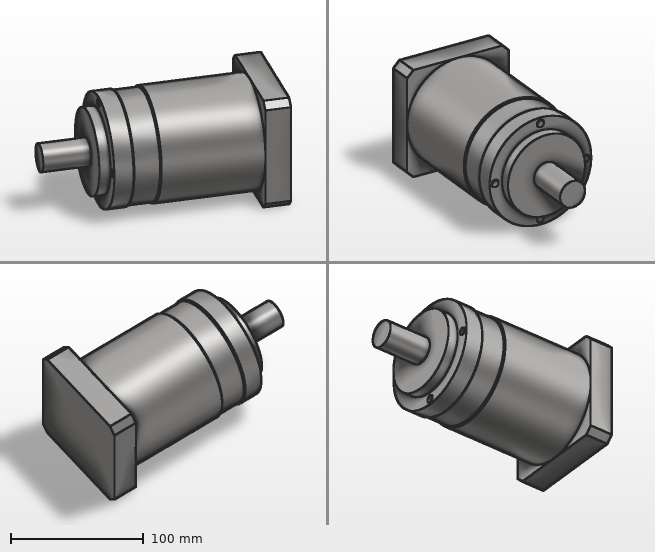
import cadquery as cq

total_length = 184.0
plate_width = 90.0

plate_thickness = 20.0
plate_corner_chamfer = 5.5

housing_diameter = plate_width
housing_length = 81.0
neck_diameter = 88.0
neck_length = 22.0
flange_diameter = housing_diameter
flange_length = 14.9
pilot_diameter = 68.0
pilot_length = 8.6
shaft_diameter = 22.0

neck_taper = (housing_diameter - neck_diameter) / 2

hole_count = 4
hole_diameter = 6.0
hole_circle_diameter = 80.0
hole_depth = flange_length

plate_back_y = total_length / 2
plate_front_y = plate_back_y - plate_thickness
housing_front_y = plate_front_y - housing_length
flange_back_y = housing_front_y - neck_length
flange_front_y = flange_back_y - flange_length
pilot_front_y = flange_front_y - pilot_length
shaft_tip_y = -total_length / 2


def section_plane(y):
    """Plane across the shaft axis at the given Y, facing the shaft tip."""
    return cq.Workplane("XZ", origin=(0, y, 0))


def mounting_plate():
    """Square plate with its four long corners chamfered."""
    plate = section_plane(plate_back_y).rect(plate_width, plate_width).extrude(plate_thickness)
    return plate.edges("|Y").chamfer(plate_corner_chamfer)


def gearbox_body():
    """Housing, tapered neck, flange, pilot and shaft turned as one profile about Y."""
    profile = [
        (plate_front_y, 0),
        (plate_front_y, housing_diameter / 2),
        (housing_front_y, housing_diameter / 2),
        (housing_front_y - neck_taper, neck_diameter / 2),
        (flange_back_y + neck_taper, neck_diameter / 2),
        (flange_back_y, flange_diameter / 2),
        (flange_front_y, flange_diameter / 2),
        (flange_front_y, pilot_diameter / 2),
        (pilot_front_y, pilot_diameter / 2),
        (pilot_front_y, shaft_diameter / 2),
        (shaft_tip_y, shaft_diameter / 2),
        (shaft_tip_y, 0),
    ]
    return cq.Workplane("YZ").polyline(profile).close().revolve(360, (0, 0), (1, 0))


def mounting_holes():
    """Cutters for the holes, spaced evenly around the flange from the X axis."""
    return (
        section_plane(flange_front_y)
        .polarArray(hole_circle_diameter / 2, 0, 360, hole_count)
        .circle(hole_diameter / 2)
        .extrude(-hole_depth)
    )


result = mounting_plate().union(gearbox_body()).cut(mounting_holes())